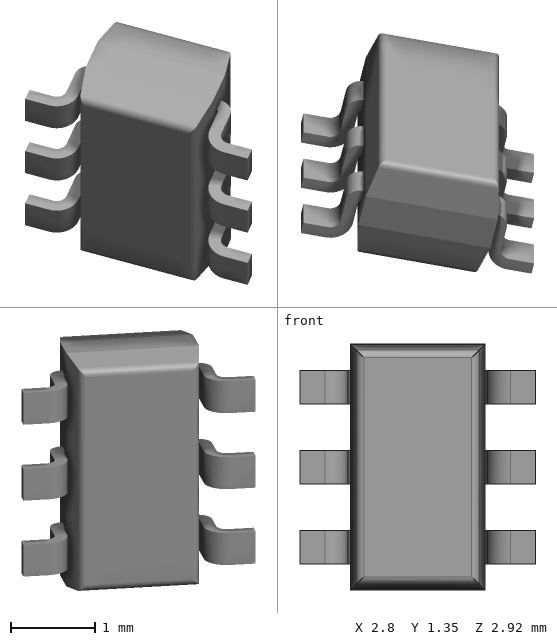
import cadquery as cq
import math


body_width = 1.6
body_depth = 1.35
body_length = 2.92
belt_depth = 0.42
draft_angle = 10.0
face_edge_radius = 0.0925

lead_span = 2.8
lead_width = 0.4
lead_thickness = 0.15
lead_pitch = 0.95
leads_per_side = 3
foot_length = 0.3
shoulder_inner_radius = 0.025

half_width = body_width / 2
seating_y = -body_depth / 2

def tapered_half(direction):
    """Half of the body, from mid-depth to one face; direction is +1 for +Y, -1 for -Y."""
    half_belt = belt_depth / 2
    taper_depth = (body_depth - belt_depth) / 2
    mid_plane = cq.Workplane("XZ")
    belt_edge_plane = mid_plane.workplane(offset=-direction * half_belt)
    belt = mid_plane.rect(body_width, body_length).extrude(-direction * half_belt)
    taper = belt_edge_plane.rect(body_width, body_length).extrude(-direction * taper_depth, taper=draft_angle)
    return belt.union(taper)

def make_body():
    body = tapered_half(1).union(tapered_half(-1))
    return body.faces("<Y or >Y").edges().fillet(face_edge_radius).solids()

def make_lead(z_center):
    """Gull-wing lead on the +X side, its root flush against the body belt."""
    shoulder_outer_radius = shoulder_inner_radius + lead_thickness
    leg_inner_x = half_width + shoulder_inner_radius
    leg_outer_x = leg_inner_x + lead_thickness
    tip_x = lead_span / 2
    foot_start_x = tip_x - foot_length
    heel_outer_radius = foot_start_x - leg_inner_x
    heel_inner_radius = heel_outer_radius - lead_thickness

    root_top_y = lead_thickness / 2
    root_bottom_y = -lead_thickness / 2
    shoulder_y = root_top_y - shoulder_outer_radius
    foot_top_y = seating_y + lead_thickness
    heel_y = seating_y + heel_outer_radius

    def arc_middle(center_x, center_y, radius, side):
        """Middle of a quarter bend; side is +1 for its upper right, -1 for its lower left."""
        offset = side * radius * math.sqrt(0.5)
        return (center_x + offset, center_y + offset)

    profile = (
        cq.Workplane("XY", origin=(0, 0, z_center - lead_width / 2))
        .moveTo(half_width, root_top_y)
        .threePointArc(
            arc_middle(half_width, shoulder_y, shoulder_outer_radius, 1),
            (leg_outer_x, shoulder_y),
        )
        .lineTo(leg_outer_x, heel_y)
        .threePointArc(
            arc_middle(foot_start_x, heel_y, heel_inner_radius, -1),
            (foot_start_x, foot_top_y),
        )
        .lineTo(tip_x, foot_top_y)
        .lineTo(tip_x, seating_y)
        .lineTo(foot_start_x, seating_y)
        .threePointArc(
            arc_middle(foot_start_x, heel_y, heel_outer_radius, -1),
            (leg_inner_x, heel_y),
        )
        .lineTo(leg_inner_x, shoulder_y)
        .threePointArc(
            arc_middle(half_width, shoulder_y, shoulder_inner_radius, 1),
            (half_width, root_bottom_y),
        )
        .close()
    )
    return profile.extrude(lead_width)

body = make_body()

leads = []
for index in range(leads_per_side):
    z_center = (index - (leads_per_side - 1) / 2) * lead_pitch
    right_lead = make_lead(z_center)
    left_lead = right_lead.mirror("YZ")
    leads.append(right_lead.val())
    leads.append(left_lead.val())

result = cq.Compound.makeCompound([body.val(), *leads])